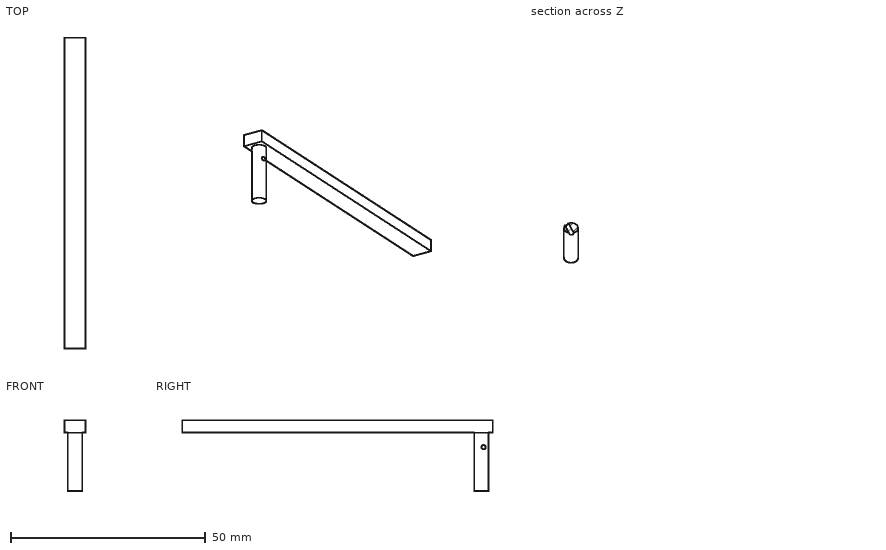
import cadquery as cq

bar_width = 5.5
bar_length = 80.0
total_height = 18.2

bar_height = 3.2
pin_diameter = 3.8
pin_length = total_height - bar_height
pin_end_distance = 3.0

hole_diameter = 1.0
hole_drop = 3.8
hole_offset = 0.6

pin_y = bar_length / 2 - pin_end_distance
hole_y = pin_y + hole_offset


def make_bar():
    """Rectangular bar along Y with its underside at Z = 0."""
    return cq.Workplane("XY").box(bar_width, bar_length, bar_height, centered=(True, True, False))


def make_pin():
    """Round pin hanging below the +Y end of the bar."""
    return cq.Workplane("XY").center(0, pin_y).circle(pin_diameter / 2).extrude(-pin_length)


def make_cross_hole():
    """Cutter along X that passes right through the pin."""
    return (
        cq.Workplane("YZ")
        .center(hole_y, -hole_drop)
        .circle(hole_diameter / 2)
        .extrude(pin_diameter, both=True)
    )


result = make_bar().union(make_pin()).cut(make_cross_hole())